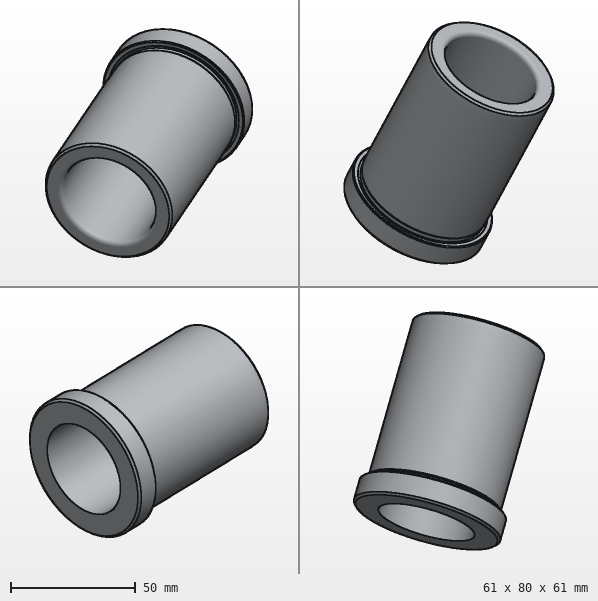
import cadquery as cq

length = 80.0
flange_radius = 30.5
flange_width = 10.0
flange_back_chamfer = 1.0
flange_front_chamfer = 0.5

body_radius = 27.4
lead_length = 3.0
lead_step = 0.1
tip_chamfer = 1.0

bore_radius = 20.0
mouth_round = 2.0

neck_depth = 0.2
neck_length = 2.0
neck_slope_length = 0.5
face_groove_radius = 28.2
face_groove_depth = 0.2

tip_y = -length / 2
back_y = length / 2
flange_front_y = back_y - flange_width
neck_end_y = flange_front_y - neck_length

lead_radius = body_radius - lead_step
neck_radius = body_radius - neck_depth


def half_section():
    """Closed (radius, y) half section of the bush, bored through with a rounded tip mouth."""
    return (
        cq.Workplane("XY")
        .moveTo(bore_radius + mouth_round, tip_y)
        .lineTo(lead_radius - tip_chamfer, tip_y)
        .lineTo(lead_radius, tip_y + tip_chamfer)
        .lineTo(body_radius, tip_y + lead_length)
        .lineTo(body_radius, neck_end_y)
        .lineTo(neck_radius, neck_end_y + neck_slope_length)
        .lineTo(neck_radius, flange_front_y + face_groove_depth)
        .lineTo(face_groove_radius, flange_front_y + face_groove_depth)
        .lineTo(face_groove_radius, flange_front_y)
        .lineTo(flange_radius - flange_front_chamfer, flange_front_y)
        .lineTo(flange_radius, flange_front_y + flange_front_chamfer)
        .lineTo(flange_radius, back_y - flange_back_chamfer)
        .lineTo(flange_radius - flange_back_chamfer, back_y)
        .lineTo(bore_radius, back_y)
        .lineTo(bore_radius, tip_y + mouth_round)
        .radiusArc((bore_radius + mouth_round, tip_y), -mouth_round)
        .close()
    )


result = half_section().revolve(360, (0, 0, 0), (0, 1, 0))